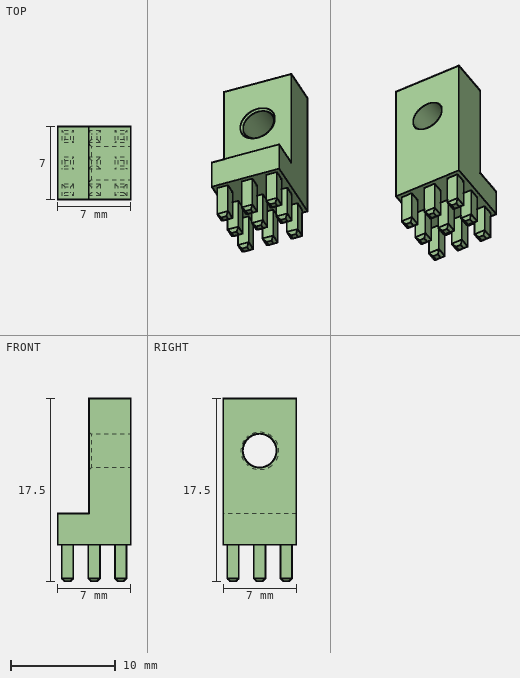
import cadquery as cq

body_size = 7.0
base_height = 3.0
body_height = 14.0
upright_thickness = 4.0

hole_diameter = 3.2
hole_chamfer = 0.2
hole_below_top = 5.0

pin_width = 1.13
pin_length = 3.5
pin_pitch = 2.54
pins_per_side = 3
pin_tip_height = 0.3
pin_tip_inset = 0.3

half_size = body_size / 2
step_x = half_size - upright_thickness
hole_z = body_height - hole_below_top


def make_body():
    """L-profile in XZ, extruded across the full width; the base underside is at Z = 0."""
    return (
        cq.Workplane("XZ")
        .moveTo(-half_size, 0)
        .lineTo(half_size, 0)
        .lineTo(half_size, body_height)
        .lineTo(step_x, body_height)
        .lineTo(step_x, base_height)
        .lineTo(-half_size, base_height)
        .close()
        .extrude(half_size, both=True)
    )


def make_hole():
    """Through hole with a chamfered edge on the step side of the upright."""
    radius = hole_diameter / 2
    profile = (
        cq.Workplane("XY")
        .moveTo(step_x, 0)
        .lineTo(step_x, radius + hole_chamfer)
        .lineTo(step_x + hole_chamfer, radius)
        .lineTo(half_size, radius)
        .lineTo(half_size, 0)
        .close()
    )
    return profile.revolve(360, (0, 0), (1, 0)).translate((0, 0, hole_z))


def make_pin(x, y):
    """Square pin hanging below the base, with a tapered tip."""
    tip_width = pin_width - 2 * pin_tip_inset
    shank_length = pin_length - pin_tip_height
    shank = cq.Workplane("XY").rect(pin_width, pin_width).extrude(-shank_length)
    tip = (
        cq.Workplane("XY", origin=(0, 0, -shank_length))
        .rect(pin_width, pin_width)
        .workplane(offset=-pin_tip_height)
        .rect(tip_width, tip_width)
        .loft()
    )
    return shank.union(tip).translate((x, y, 0))


result = make_body().cut(make_hole())
offsets = [(i - (pins_per_side - 1) / 2) * pin_pitch for i in range(pins_per_side)]
for pin_x in offsets:
    for pin_y in offsets:
        result = result.union(make_pin(pin_x, pin_y))